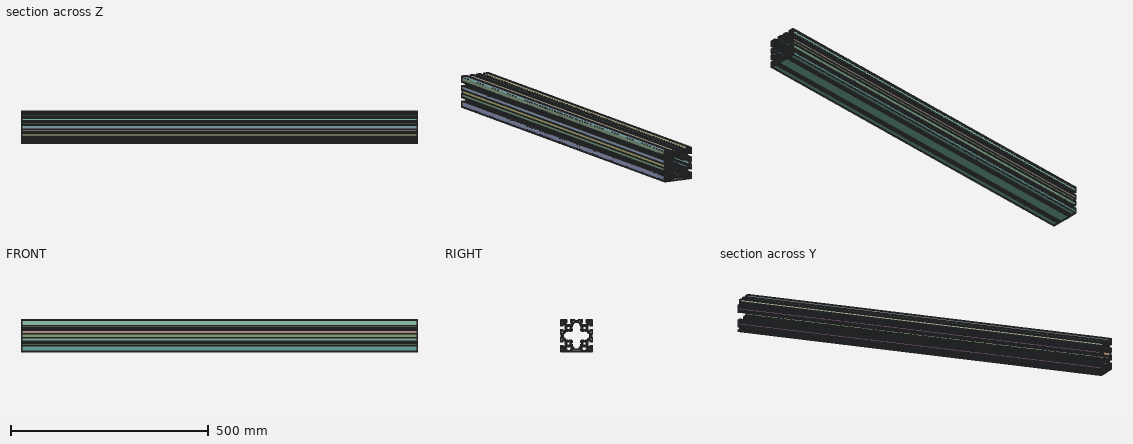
import cadquery as cq

LENGTH = 1000.0
SIDE = 80.0
HALF = SIDE / 2
CORNER_RADIUS = 2.5
PITCH = SIDE / 4

SLOT_OPENING = 10.0
LIP_ROUNDING = 1.5
LIP_THICKNESS = 5.5
SLOT_DEPTH = 12.0
SLOT_HALF_WIDTH = 8.3
SLOT_FLOOR_HALF_WIDTH = 5.5
COVER_THICKNESS = 2.0
MARK_WIDTH = 1.6
MARK_DEPTH = 0.8

GROOVE_WIDTH = 10.0
GROOVE_DEPTH = 2.0
GROOVE_ROUNDING = 1.2

WALL_INNER = 34.0
WALL_BEND = 0.8
WALL_HALF_WIDTH = 5.0
ARM_HALF_WIDTH = 6.8
ARM_SHOULDER = 31.0
CORE_INNER = 11.0
CORE_CHAMFER = 3.0
CORE_NOTCH_WIDTH = 6.2
CORE_NOTCH_DEPTH = 2.0

BORE_SIDE = 9.0
RELIEF_LENGTH = 17.0
RELIEF_WIDTH = 2.0

HOLLOW_OUTER = 37.0
HOLLOW_LEG = 9.2

SIGNS = (-1, 1)
TOP, BOTTOM = 0, 180
SIDE_ANGLES = (TOP, 90, BOTTOM, 270)
OPEN_ANGLES = (TOP, 90, 270)


def section():
    """Workplane across the bar at its left end: local x is +Y, local y is +Z."""
    return cq.Workplane("YZ", origin=(-LENGTH / 2, 0, 0))


def turned(body, angle):
    """Turn a body made for the top side about the long axis of the bar."""
    return body.rotate((0, 0, 0), (1, 0, 0), angle)


def slot_chamber(center):
    """Wide inner part of a slot, narrowing to its floor."""
    floor = HALF - SLOT_DEPTH
    ceiling = HALF - LIP_THICKNESS
    shoulder = floor + SLOT_HALF_WIDTH - SLOT_FLOOR_HALF_WIDTH
    points = [
        (center - SLOT_FLOOR_HALF_WIDTH, floor),
        (center + SLOT_FLOOR_HALF_WIDTH, floor),
        (center + SLOT_HALF_WIDTH, shoulder),
        (center + SLOT_HALF_WIDTH, ceiling),
        (center - SLOT_HALF_WIDTH, ceiling),
        (center - SLOT_HALF_WIDTH, shoulder),
    ]
    return section().polyline(points).close().extrude(LENGTH)


def slot_neck(center, top):
    """Straight passage through the lips, from the chamber up to the given height."""
    bottom = HALF - LIP_THICKNESS
    return (
        section()
        .center(center, (bottom + top) / 2)
        .rect(SLOT_OPENING, top - bottom)
        .extrude(LENGTH)
    )


def centre_mark(center, surface, depth):
    """V-groove sunk from the given height; a negative depth cuts upwards."""
    points = [
        (center - MARK_WIDTH / 2, surface),
        (center + MARK_WIDTH / 2, surface),
        (center, surface - depth),
    ]
    return section().polyline(points).close().extrude(LENGTH)


def rounded_mouth(center, width, depth, radius):
    """Channel of the top side whose outer edges flare out in convex quarter rounds."""
    half = width / 2
    outline = section().moveTo(center - half, HALF - depth).lineTo(center + half, HALF - depth)
    outline = outline.lineTo(center + half, HALF - radius)
    outline = outline.radiusArc((center + half + radius, HALF), radius)
    outline = outline.lineTo(center - half - radius, HALF)
    outline = outline.radiusArc((center - half, HALF - radius), radius)
    return outline.close().extrude(LENGTH)


def cavity():
    """Cross-shaped hollow, bounded by the walls, the diagonal webs and the chamfered cores."""
    web_end = ARM_SHOULDER - (CORE_INNER - ARM_HALF_WIDTH)
    chamfer_end = CORE_INNER + CORE_CHAMFER
    notch_floor = CORE_INNER + CORE_NOTCH_DEPTH
    notch_low = PITCH - CORE_NOTCH_WIDTH / 2
    notch_high = PITCH + CORE_NOTCH_WIDTH / 2
    right_side = [
        (CORE_INNER, chamfer_end),
        (CORE_INNER, notch_low),
        (notch_floor, notch_low),
        (notch_floor, notch_high),
        (CORE_INNER, notch_high),
        (CORE_INNER, web_end),
        (ARM_HALF_WIDTH, ARM_SHOULDER),
        (ARM_HALF_WIDTH, WALL_INNER - WALL_BEND),
        (WALL_HALF_WIDTH, WALL_INNER),
    ]
    left_side = [(-y, z) for y, z in reversed(right_side)]
    arm_outline = right_side + left_side + [(0, 0)]
    arm = section().polyline(arm_outline).close().extrude(LENGTH)

    middle = section().rect(2 * chamfer_end, 2 * chamfer_end).extrude(LENGTH)
    middle = middle.edges("|X").chamfer(CORE_CHAMFER)
    for angle in SIDE_ANGLES:
        middle = middle.union(turned(arm, angle))
    return middle


def core_bore(y, z):
    bore = section().center(y, z).rect(BORE_SIDE, BORE_SIDE).extrude(LENGTH)
    for angle in (45, -45):
        relief = section().center(y, z).slot2D(RELIEF_LENGTH, RELIEF_WIDTH, angle).extrude(LENGTH)
        bore = bore.union(relief)
    return bore


def corner_hollow():
    tip = HOLLOW_OUTER - HOLLOW_LEG
    points = [(HOLLOW_OUTER, tip), (HOLLOW_OUTER, HOLLOW_OUTER), (tip, HOLLOW_OUTER)]
    return section().polyline(points).close().extrude(LENGTH)


bar = section().rect(SIDE, SIDE).extrude(LENGTH).edges("|X").fillet(CORNER_RADIUS)
bar = bar.cut(cavity())

for angle in SIDE_ANGLES:
    bar = bar.cut(turned(corner_hollow(), angle))
    for sign in SIGNS:
        bar = bar.cut(turned(slot_chamber(sign * PITCH), angle))
        bar = bar.cut(turned(centre_mark(sign * PITCH, HALF - SLOT_DEPTH, MARK_DEPTH), angle))

groove = rounded_mouth(0, GROOVE_WIDTH, GROOVE_DEPTH, GROOVE_ROUNDING)
for angle in OPEN_ANGLES:
    bar = bar.cut(turned(groove, angle))
    for sign in SIGNS:
        slot_mouth = rounded_mouth(sign * PITCH, SLOT_OPENING, LIP_THICKNESS, LIP_ROUNDING)
        bar = bar.cut(turned(slot_mouth, angle))

cover_inner = HALF - COVER_THICKNESS
for sign in SIGNS:
    bar = bar.cut(turned(slot_neck(sign * PITCH, cover_inner), BOTTOM))
    bar = bar.cut(turned(centre_mark(sign * PITCH, cover_inner, -MARK_DEPTH), BOTTOM))
    for other_sign in SIGNS:
        bar = bar.cut(core_bore(sign * PITCH, other_sign * PITCH))

result = bar